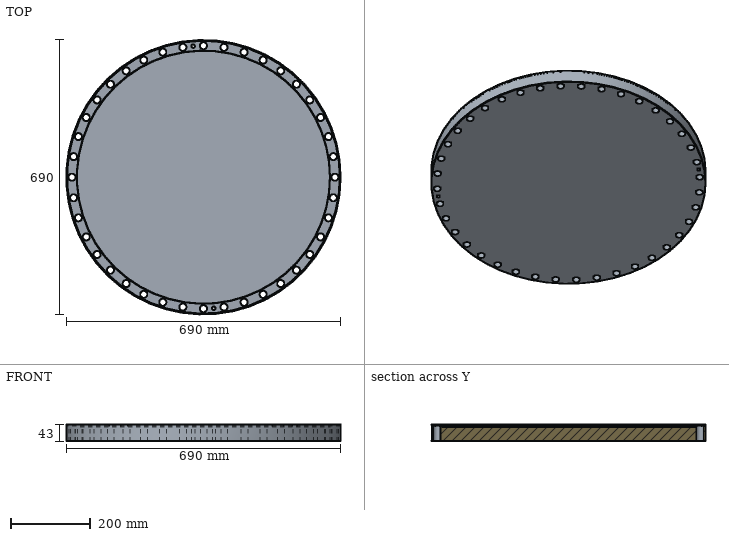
import cadquery as cq

outer_diameter = 690.0
thickness = 43.0
rim_chamfer = 1.5

lip_width = 3.1
lip_height = 4.0

floor_top_diameter = 637.0
floor_diameter = 634.0
floor_depth = 3.0

bolt_circle_diameter = 660.0
bolt_count = 40
bolt_hole_diameter = 17.0

small_hole_count = 2
small_hole_diameter = 8.0
bolt_pitch_angle = 360 / bolt_count
small_hole_start_angle = 90 + bolt_pitch_angle / 2


def holes_on_bolt_circle(diameter, start_angle, count):
    """Through-hole cutters evenly spaced on the bolt circle."""
    return (
        cq.Workplane("XY")
        .polarArray(bolt_circle_diameter / 2, start_angle, 360, count)
        .circle(diameter / 2)
        .extrude(thickness)
    )


disc = cq.Workplane("XY").circle(outer_diameter / 2).extrude(thickness)
disc = disc.edges().chamfer(rim_chamfer)

ring_face_z = thickness - lip_height
recess = (
    cq.Workplane("XY", origin=(0, 0, ring_face_z))
    .circle(outer_diameter / 2 - lip_width)
    .extrude(lip_height)
)

floor_pocket = (
    cq.Workplane("XY", origin=(0, 0, ring_face_z - floor_depth))
    .circle(floor_diameter / 2)
    .workplane(offset=floor_depth)
    .circle(floor_top_diameter / 2)
    .loft(ruled=True)
)

bolt_holes = holes_on_bolt_circle(bolt_hole_diameter, 0, bolt_count)
small_holes = holes_on_bolt_circle(small_hole_diameter, small_hole_start_angle, small_hole_count)

result = disc.cut(recess).cut(floor_pocket).cut(bolt_holes).cut(small_holes)